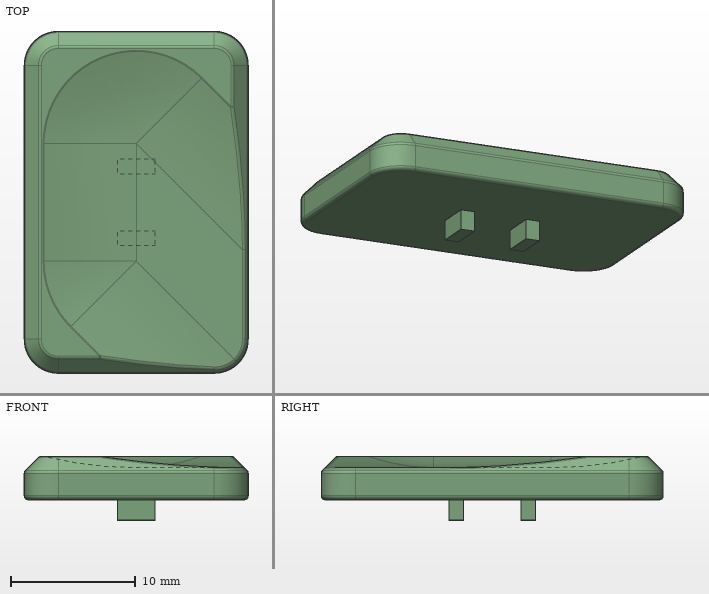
import cadquery as cq
import math

length = 27.5
width = 18.0
thickness = 3.5
corner_radius = 2.75
bevel = 1.25
edge_round = 0.33

dish_radius = 7.45
dish_depth = 0.9
dish_half_spacing = 4.73
dish_run = 22.0
dish_clearance = 0.28

tab_width = 3.02
tab_thickness = 1.18
tab_height = 1.65
tab_spacing = 5.78

tolerance = 0.003

bevel_foot_z = thickness - bevel
floor_z = thickness - dish_depth
cutter_top = thickness + dish_clearance
section_radius = (dish_radius**2 + dish_depth**2) / (2 * dish_depth)


def section_reach(height):
    """Distance from the dish centre at which the section is this far above the floor."""
    return math.sqrt(2 * section_radius * height - height**2)


def half_section(plane):
    """Half of the cutter's section: local x runs outwards, local y is the height above the floor."""
    cutter_height = cutter_top - floor_z
    mid_height = cutter_height / 2
    return (
        cq.Workplane(plane)
        .threePointArc((section_reach(mid_height), mid_height), (section_reach(cutter_height), cutter_height))
        .lineTo(0, cutter_height)
        .close()
    )


def dish_bowl(center_y):
    plane = cq.Plane(origin=(0, center_y, floor_z), xDir=(1, 0, 0), normal=(0, -1, 0))
    return half_section(plane).revolve(360, (0, 0), (0, 1))


def dish_side(center_y, outward, run):
    """Straight side; the run is measured along the direction 90 degrees clockwise from outward."""
    outward_x, outward_y = outward
    plane = cq.Plane(
        origin=(0, center_y, floor_z),
        xDir=(outward_x, outward_y, 0),
        normal=(outward_y, -outward_x, 0),
    )
    return half_section(plane).extrude(run)


def dish_floor():
    """Level floor between the two centre lines that run diagonally towards +X -Y."""
    diagonal_step = dish_run / math.sqrt(2)
    return (
        cq.Workplane("XY", origin=(0, 0, floor_z))
        .moveTo(0, dish_half_spacing)
        .lineTo(diagonal_step, dish_half_spacing - diagonal_step)
        .lineTo(diagonal_step, -dish_half_spacing - diagonal_step)
        .lineTo(0, -dish_half_spacing)
        .close()
        .extrude(cutter_top - floor_z)
    )


def dish_cutter():
    cutter = dish_floor()
    cutter = cutter.union(dish_side(dish_half_spacing, (1, 1), dish_run))
    cutter = cutter.union(dish_side(-dish_half_spacing, (-1, -1), -dish_run))
    cutter = cutter.union(dish_side(-dish_half_spacing, (-1, 0), 2 * dish_half_spacing))
    for center_y in (-dish_half_spacing, dish_half_spacing):
        cutter = cutter.union(dish_bowl(center_y))
    return cutter


def plate():
    body = (
        cq.Workplane("XY")
        .rect(width, length)
        .extrude(thickness)
        .edges("|Z")
        .fillet(corner_radius)
        .faces(">Z")
        .chamfer(bevel)
    )
    return body.faces("<Z").edges().fillet(edge_round)


def edges_of_faces_resting_at(body, height):
    """Edges of all faces whose lowest point is at this height."""
    faces = [face for face in body.faces().vals() if abs(face.BoundingBox().zmin - height) < tolerance]
    return {edge for face in faces for edge in face.Edges()}


def round_top_edges(body):
    """Round the dish outline and the rim along which the top face and the dish meet the bevel."""
    top_edges = set(body.faces(">Z").edges().vals())
    bevel_edges = edges_of_faces_resting_at(body, bevel_foot_z)
    dish_edges = edges_of_faces_resting_at(body, floor_z)
    rim_edges = top_edges | (bevel_edges & dish_edges)
    ordered_rim = [edge for edge in body.edges().vals() if edge in rim_edges]
    return body.newObject(ordered_rim).fillet(edge_round)


def round_bevel_foot(body):
    foot_plane = cq.selectors.BoxSelector(
        (-width, -length, bevel_foot_z - tolerance),
        (width, length, bevel_foot_z + tolerance),
        boundingbox=True,
    )
    return body.edges(foot_plane).fillet(edge_round)


def tab(center_y):
    return (
        cq.Workplane("XY", origin=(0, center_y, 0))
        .rect(tab_width, tab_thickness)
        .extrude(-tab_height)
    )


result = plate().cut(dish_cutter())
result = round_top_edges(result)
result = round_bevel_foot(result)
for tab_y in (-tab_spacing / 2, tab_spacing / 2):
    result = result.union(tab(tab_y))